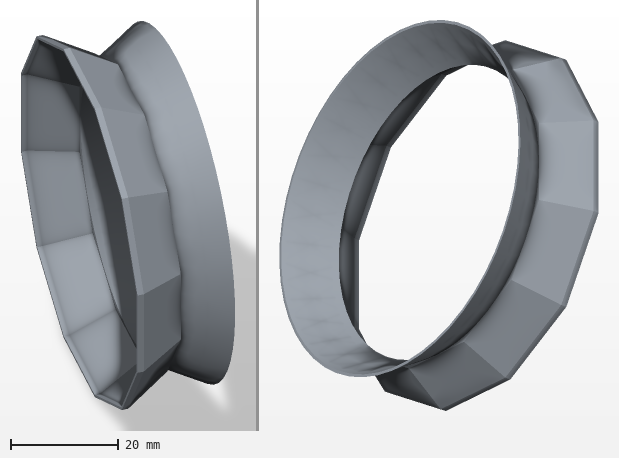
import cadquery as cq
import math

SIDES = 12
OUTER_RADIUS = 34.7
WALL = 0.5
RIM_DEPTH = 1.25
DEPTH = 19.2
FLARE_ANGLE = math.radians(30)

FLARE_DEPTH = (DEPTH - RIM_DEPTH) / 2
FLARE_SLOPE = math.tan(FLARE_ANGLE)
RADIAL_WALL = WALL / math.cos(FLARE_ANGLE)

FRONT_Y = -DEPTH / 2
RIM_BACK_Y = FRONT_Y + RIM_DEPTH
NECK_Y = RIM_BACK_Y + FLARE_DEPTH
FLOOR_Y = NECK_Y - WALL
BACK_Y = DEPTH / 2


def polygon_outline(y, apothem):
    """Twelve-sided outline at depth y, with flats facing +-X and +-Z."""
    corner_radius = apothem / math.cos(math.pi / SIDES)
    corners = []
    for i in range(SIDES):
        angle = (2 * i + 1) * math.pi / SIDES
        corners.append((corner_radius * math.cos(angle), corner_radius * math.sin(angle)))
    plane = cq.Plane(origin=(0, y, 0), xDir=(1, 0, 0), normal=(0, -1, 0))
    return cq.Workplane(plane).polyline(corners).close()


def polygon_body(apothem, bend_y, end_y):
    """Straight prism from the front to bend_y, then a flare narrowing to end_y."""
    end_apothem = apothem - (end_y - bend_y) * FLARE_SLOPE
    rim = polygon_outline(bend_y, apothem).extrude(bend_y - FRONT_Y)
    wide = polygon_outline(bend_y, apothem).wires().val()
    narrow = polygon_outline(end_y, end_apothem).wires().val()
    flare = cq.Workplane(cq.Solid.makeLoft([wide, narrow], True))
    return rim.union(flare)


def polygon_half():
    """Twelve-sided cup with an even wall and a flat floor at the neck."""
    inside_apothem = OUTER_RADIUS - WALL
    inside_bend_y = RIM_BACK_Y - (RADIAL_WALL - WALL) / FLARE_SLOPE
    outside = polygon_body(OUTER_RADIUS, RIM_BACK_Y, NECK_Y)
    return outside.cut(polygon_body(inside_apothem, inside_bend_y, FLOOR_Y))


def cone(neck_y, back_radius):
    """Solid round flare opening from neck_y to the back edge."""
    neck_radius = back_radius - (BACK_Y - neck_y) * FLARE_SLOPE
    profile = [(neck_y, 0), (neck_y, neck_radius), (BACK_Y, back_radius), (BACK_Y, 0)]
    return cq.Workplane("YZ").polyline(profile).close().revolve(360, (0, 0), (1, 0))


bore = cone(FLOOR_Y, OUTER_RADIUS - RADIAL_WALL)
result = polygon_half().union(cone(NECK_Y, OUTER_RADIUS)).cut(bore)